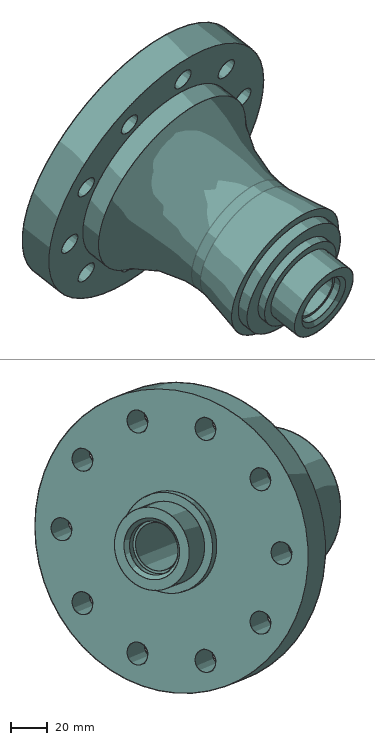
import cadquery as cq

total_length = 169.0
journal_length = 17.7
collar_length = 4.9
flange_start = journal_length + collar_length
flange_end = 42.8
hub_end = 54.6
neck_start = 104.6
neck_end = 111.2
flare_end = 139.8
shoulder_end = total_length - journal_length - collar_length

journal_radius = 23.0
collar_radius = 27.9
flange_radius = 84.0
hub_radius = 57.5
neck_radius = 36.5
flare_radius = 41.7
waist_arc_radius = 76.0
flare_sag = 0.2

bore_radius = 13.4
counterbore_radius = 14.9
counterbore_depth = 6.3
mouth_radius = 17.0
mouth_depth = mouth_radius - counterbore_radius

bolt_count = 10
bolt_hole_diameter = 12.7
bolt_circle_radius = 67.6


def revolve_about_x(profile):
    return profile.close().revolve(360, (0, 0, 0), (1, 0, 0))


def make_body():
    flare_midpoint = (
        (neck_end + flare_end) / 2,
        (neck_radius + flare_radius) / 2 - flare_sag,
    )
    profile = (
        cq.Workplane("XY")
        .lineTo(0, journal_radius)
        .lineTo(journal_length, journal_radius)
        .lineTo(journal_length, collar_radius)
        .lineTo(flange_start, collar_radius)
        .lineTo(flange_start, flange_radius)
        .lineTo(flange_end, flange_radius)
        .lineTo(flange_end, hub_radius)
        .lineTo(hub_end, hub_radius)
        .radiusArc((neck_start, neck_radius), -waist_arc_radius)
        .lineTo(neck_end, neck_radius)
        .threePointArc(flare_midpoint, (flare_end, flare_radius))
        .lineTo(flare_end, neck_radius)
        .lineTo(shoulder_end, neck_radius)
        .lineTo(shoulder_end, collar_radius)
        .lineTo(total_length - journal_length, collar_radius)
        .lineTo(total_length - journal_length, journal_radius)
        .lineTo(total_length, journal_radius)
        .lineTo(total_length, 0)
    )
    return revolve_about_x(profile)


def make_bore():
    profile = (
        cq.Workplane("XY")
        .lineTo(0, mouth_radius)
        .lineTo(mouth_depth, counterbore_radius)
        .lineTo(counterbore_depth, counterbore_radius)
        .lineTo(counterbore_depth, bore_radius)
        .lineTo(total_length - counterbore_depth, bore_radius)
        .lineTo(total_length - counterbore_depth, counterbore_radius)
        .lineTo(total_length - mouth_depth, counterbore_radius)
        .lineTo(total_length, mouth_radius)
        .lineTo(total_length, 0)
    )
    return revolve_about_x(profile)


def make_bolt_holes():
    return (
        cq.Workplane("YZ", origin=(flange_start, 0, 0))
        .polarArray(bolt_circle_radius, 0, 360, bolt_count)
        .circle(bolt_hole_diameter / 2)
        .extrude(flange_end - flange_start)
    )


result = make_body().cut(make_bore()).cut(make_bolt_holes())